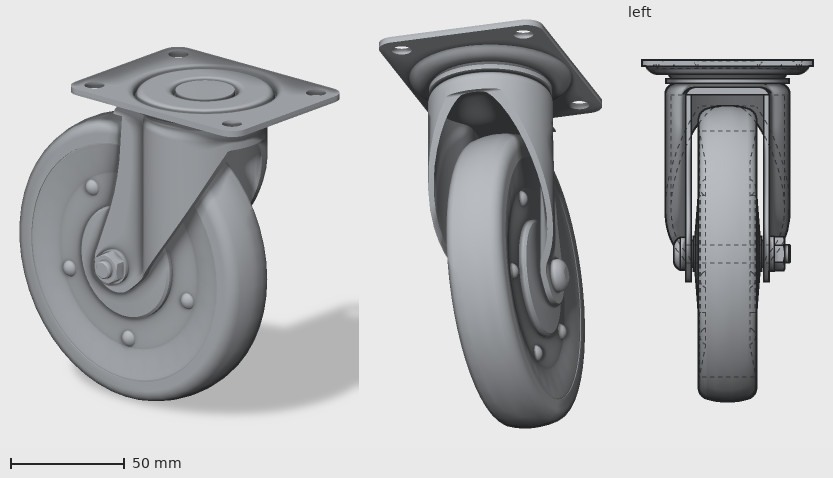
import cadquery as cq
import math


total_height = 150.0
wheel_radius = 65.0
trail = 36.0
axle_x = -trail
axle_z = wheel_radius

plate_length = 99.0
plate_width = 75.0
plate_thickness = 2.75
plate_corner_radius = 7.5
bolt_hole_diameter = 8.8
bolt_hole_spacing_x = 80.0
bolt_hole_spacing_y = 56.0

dish_radius = 35.8
dish_depth = 6.4
dish_bottom_radius = 29.5
dish_bulge_radius = 33.3
dish_bulge_depth = 5.4
neck_top_radius = 25.8
neck_bottom_radius = 24.8
groove_radius = 30.8
groove_floor_width = 0.4
groove_shoulder = 3.7
kingpin_radius = 13.0
kingpin_drop = 0.35
kingpin_recess_depth = 3.0
kingpin_shoulder = 4.3

ring_radius = 27.0
ring_thickness = 2.1
ring_top_z = total_height - 8.2
sheet = 2.5
barrel_radius = 27.4
leg_outer_y = 18.3
leg_bend_radius = 8.0
dome_radius = 5.0
tab_top_z = total_height - 12.1
tab_bottom_z = total_height - 15.2
tab_front_x = -37.5
leg_top_bend = 4.0
axle_lug_radius = 12.3
barrel_bottom_z = total_height - 20.1
barrel_step_x = 24.4
barrel_step_fillet = 1.2
rear_edge_middle = (1.5, total_height - 63.0)
rear_edge_end_angle = -48
lug_bottom_angle = -100
lug_front_angle = 153
leg_front_top_x = -32.4
leg_curve_start = (-33.9, total_height - 35.4)
leg_curve_middle = (-35.9, total_height - 47.4)
leg_curve_end = (-39.2, total_height - 59.2)

tyre_half_width = 12.75
tyre_bore_radius = 54.0
tyre_shoulder_radius = 5.25
tyre_face_radius = 58.6
crown_edge_y = 8.9
rim_lip_y = 12.3
rim_lip_radius = 53.4
web_y = 9.7
web_radius = 40.0
cap_radius = 25.7
cap_edge = 1.0
cap_edge_y = 12.85
hub_radius = 7.6
hub_base_y = 14.2
hub_y = 15.1
sleeve_radius = 6.0
sleeve_y = leg_outer_y - sheet
rivet_count = 5
rivet_circle_radius = 36.0
rivet_radius = 3.65
rivet_height = 2.5

bolt_radius = 4.0
bolt_end_y = 27.5
bolt_end_chamfer = 0.6
head_radius = 7.2
head_washer_thickness = 2.4
head_dome_height = 2.9
head_flat_radius = 3.4
head_bulge_radius = 6.0
head_bulge_height = 1.7
nut_washer_radius = 7.6
nut_washer_thickness = 2.1
nut_height = 4.8
nut_across_flats = 12.8
nut_corner_chamfer_width = 1.2
nut_corner_chamfer_depth = 0.6


def revolve_about_z(profile):
    """Turn a closed profile drawn in the XZ plane about the swivel axis."""
    return profile.close().revolve(360, (0, 0, 0), (0, 1, 0))


def revolve_about_axle(profile):
    """Turn a closed profile of (radius, y) points about Y, then move it to the wheel axis."""
    turned = profile.close().revolve(360, (0, 0, 0), (0, 1, 0))
    return turned.translate((axle_x, 0, axle_z))


def point_on_circle(centre_x, centre_z, radius, angle):
    """Point on a circle at the given angle in degrees."""
    turn = math.radians(angle)
    return (centre_x + radius * math.cos(turn), centre_z + radius * math.sin(turn))


def make_dish():
    top = total_height
    groove_outer = groove_radius + groove_floor_width / 2
    groove_inner = groove_radius - groove_floor_width / 2
    groove_z = top - groove_shoulder
    outer_centre = groove_outer + groove_shoulder
    inner_centre = groove_inner - groove_shoulder
    kingpin_centre = kingpin_radius + kingpin_shoulder + groove_floor_width
    kingpin_centre_z = top - kingpin_shoulder
    recess_angle = 180 - math.degrees(math.asin(1 - kingpin_recess_depth / kingpin_shoulder))
    recess_foot = point_on_circle(kingpin_centre, kingpin_centre_z, kingpin_shoulder, recess_angle)
    recess_middle = point_on_circle(
        kingpin_centre, kingpin_centre_z, kingpin_shoulder, (recess_angle + 90) / 2
    )
    profile = (
        cq.Workplane("XZ")
        .moveTo(0, top - kingpin_drop)
        .lineTo(kingpin_radius, top - kingpin_drop)
        .lineTo(kingpin_radius, recess_foot[1])
        .lineTo(*recess_foot)
        .threePointArc(recess_middle, (kingpin_centre, top))
        .lineTo(inner_centre, top)
        .threePointArc(
            point_on_circle(inner_centre, groove_z, groove_shoulder, 45),
            (groove_inner, groove_z),
        )
        .lineTo(groove_outer, groove_z)
        .threePointArc(
            point_on_circle(outer_centre, groove_z, groove_shoulder, 135),
            (outer_centre, top),
        )
        .lineTo(dish_radius, top)
        .lineTo(dish_radius, top - plate_thickness)
        .threePointArc((dish_bulge_radius, top - dish_bulge_depth), (dish_bottom_radius, top - dish_depth))
        .lineTo(neck_top_radius, top - dish_depth)
        .lineTo(neck_bottom_radius, ring_top_z)
        .lineTo(0, ring_top_z)
    )
    return revolve_about_z(profile)


def make_plate():
    flange = (
        cq.Workplane("XY", origin=(0, 0, total_height - plate_thickness))
        .rect(plate_length, plate_width)
        .extrude(plate_thickness)
        .edges("|Z")
        .fillet(plate_corner_radius)
        .faces(">Z")
        .workplane()
        .rect(bolt_hole_spacing_x, bolt_hole_spacing_y, forConstruction=True)
        .vertices()
        .hole(bolt_hole_diameter)
        .cut(cq.Workplane("XY").circle(dish_radius).extrude(total_height))
    )
    return flange.union(make_dish())


def fork_section(inset, top_z):
    """Prism from the floor to `top_z` of the fork outline seen from above, moved inward by `inset`."""
    front_x = axle_x - 2 * axle_lug_radius
    leg_y = leg_outer_y - inset
    barrel = barrel_radius - inset
    bend = leg_bend_radius + inset
    bend_y = leg_y + bend
    bend_x = -math.sqrt((barrel + bend) ** 2 - bend_y**2)
    join_x = bend_x * barrel / (barrel + bend)
    join_y = bend_y * barrel / (barrel + bend)
    half_turn = math.atan2(join_x - bend_x, bend_y - join_y) / 2
    middle_x = bend_x + bend * math.sin(half_turn)
    middle_y = bend_y - bend * math.cos(half_turn)
    return (
        cq.Workplane("XY")
        .moveTo(front_x, leg_y)
        .lineTo(bend_x, leg_y)
        .threePointArc((middle_x, middle_y), (join_x, join_y))
        .threePointArc((barrel, 0), (join_x, -join_y))
        .threePointArc((middle_x, -middle_y), (bend_x, -leg_y))
        .lineTo(front_x, -leg_y)
        .close()
        .extrude(top_z)
    )


def make_side_shape():
    """Fork outline seen from the side, wide enough to trim both legs."""
    lug_front, lug_bottom, lug_rear = [
        point_on_circle(axle_x, axle_z, axle_lug_radius, angle)
        for angle in (lug_front_angle, lug_bottom_angle, rear_edge_end_angle)
    ]
    outline = (
        cq.Workplane("XZ", origin=(0, plate_width / 2, 0))
        .moveTo(tab_front_x, total_height)
        .lineTo(tab_front_x, tab_bottom_z)
        .lineTo(leg_front_top_x, tab_bottom_z)
        .lineTo(*leg_curve_start)
        .threePointArc(leg_curve_middle, leg_curve_end)
        .lineTo(*lug_front)
        .threePointArc(lug_bottom, lug_rear)
        .threePointArc(rear_edge_middle, (barrel_step_x, barrel_bottom_z))
        .lineTo(plate_length / 2, barrel_bottom_z)
        .lineTo(plate_length / 2, total_height)
        .close()
        .extrude(plate_width)
    )
    step_edge = cq.NearestToPointSelector((barrel_step_x, 0, barrel_bottom_z))
    return outline.edges("|Y").edges(step_edge).fillet(barrel_step_fillet)


def make_fork():
    dome_top_z = ring_top_z - ring_thickness
    legs = fork_section(0, tab_top_z).edges(">Z and |X").fillet(leg_top_bend)
    dome = (
        cq.Workplane("XY", origin=(0, 0, barrel_bottom_z))
        .circle(barrel_radius)
        .extrude(dome_top_z - barrel_bottom_z)
        .faces(">Z")
        .edges()
        .fillet(dome_radius)
    )
    inside = fork_section(sheet, tab_bottom_z)
    ring = cq.Workplane("XY", origin=(0, 0, dome_top_z)).circle(ring_radius).extrude(ring_thickness)
    axle_hole = (
        cq.Workplane("XZ", origin=(axle_x, plate_width, axle_z))
        .circle(bolt_radius)
        .extrude(2 * plate_width)
    )
    return legs.union(dome).intersect(make_side_shape()).cut(inside).union(ring).cut(axle_hole)


def make_rim():
    half = [
        (bolt_radius, sleeve_y),
        (sleeve_radius, sleeve_y),
        (sleeve_radius, hub_y),
        (hub_radius, hub_y),
        (hub_radius, hub_base_y),
        (cap_radius - cap_edge, cap_edge_y),
        (cap_radius, cap_edge_y - cap_edge),
        (cap_radius, web_y),
        (web_radius, web_y),
        (rim_lip_radius, rim_lip_y),
        (tyre_bore_radius, rim_lip_y),
    ]
    other_half = [(radius, -y) for radius, y in reversed(half)]
    rim = revolve_about_axle(cq.Workplane("XY").polyline(half + other_half))
    for index in range(rivet_count):
        angle = math.radians(-90 + index * 360 / rivet_count)
        x = axle_x + rivet_circle_radius * math.cos(angle)
        z = axle_z + rivet_circle_radius * math.sin(angle)
        rim = rim.union(make_rivet().translate((x, 0, z)))
    return rim


def make_rivet():
    """Rivet through the web with a domed head on both sides."""
    tip_y = web_y + rivet_height
    sphere_radius = (rivet_radius**2 + rivet_height**2) / (2 * rivet_height)
    sphere_y = tip_y - sphere_radius
    half_turn = math.asin(rivet_radius / sphere_radius) / 2
    middle_x = sphere_radius * math.sin(half_turn)
    middle_y = sphere_y + sphere_radius * math.cos(half_turn)
    return (
        cq.Workplane("XY")
        .moveTo(0, tip_y)
        .threePointArc((middle_x, middle_y), (rivet_radius, web_y))
        .lineTo(rivet_radius, -web_y)
        .threePointArc((middle_x, -middle_y), (0, -tip_y))
        .close()
        .revolve(360, (0, 0, 0), (0, 1, 0))
    )


def make_tyre():
    shoulder_y = tyre_half_width - tyre_shoulder_radius
    crown_edge_radius = tyre_face_radius + math.sqrt(
        tyre_shoulder_radius**2 - (crown_edge_y - shoulder_y) ** 2
    )
    half_turn = math.acos((crown_edge_y - shoulder_y) / tyre_shoulder_radius) / 2
    middle_radius = tyre_face_radius + tyre_shoulder_radius * math.sin(half_turn)
    middle_y = shoulder_y + tyre_shoulder_radius * math.cos(half_turn)
    profile = (
        cq.Workplane("XY")
        .moveTo(tyre_bore_radius, tyre_half_width)
        .lineTo(tyre_face_radius, tyre_half_width)
        .threePointArc((middle_radius, middle_y), (crown_edge_radius, crown_edge_y))
        .threePointArc((wheel_radius, 0), (crown_edge_radius, -crown_edge_y))
        .threePointArc((middle_radius, -middle_y), (tyre_face_radius, -tyre_half_width))
        .lineTo(tyre_bore_radius, -tyre_half_width)
    )
    return revolve_about_axle(profile)


def make_axle():
    head_y = leg_outer_y + head_washer_thickness
    head_end_y = head_y + head_dome_height
    nut_y = leg_outer_y + nut_washer_thickness
    profile = (
        cq.Workplane("XY")
        .moveTo(0, head_end_y)
        .lineTo(head_flat_radius, head_end_y)
        .threePointArc((head_bulge_radius, head_y + head_bulge_height), (head_radius, head_y))
        .lineTo(head_radius, leg_outer_y)
        .lineTo(bolt_radius, leg_outer_y)
        .lineTo(bolt_radius, -leg_outer_y)
        .lineTo(nut_washer_radius, -leg_outer_y)
        .lineTo(nut_washer_radius, -nut_y)
        .lineTo(bolt_radius, -nut_y)
        .lineTo(bolt_radius, bolt_end_chamfer - bolt_end_y)
        .lineTo(bolt_radius - bolt_end_chamfer, -bolt_end_y)
        .lineTo(0, -bolt_end_y)
    )
    return revolve_about_axle(profile).union(make_nut(-nut_y))


def make_nut(seat_y):
    """Hexagon standing on its corner, with the outer corners turned off."""
    corner_radius = nut_across_flats / 2 / math.cos(math.pi / 6)
    seat = cq.Workplane("XZ", origin=(axle_x, seat_y, axle_z))
    hexagon = (
        seat.polygon(6, 2 * corner_radius)
        .extrude(nut_height)
        .rotate((axle_x, 0, axle_z), (axle_x, 1, axle_z), 30)
    )
    turned_corners = (
        seat.circle(corner_radius)
        .extrude(nut_height)
        .faces("<Y")
        .chamfer(nut_corner_chamfer_depth, nut_corner_chamfer_width)
    )
    return hexagon.intersect(turned_corners)


plate = make_plate()
fork = make_fork()
rim = make_rim()
tyre = make_tyre()
axle = make_axle()

bodies = [plate, fork, rim, tyre, axle]
result = cq.Compound.makeCompound([body.solids().val() for body in bodies])